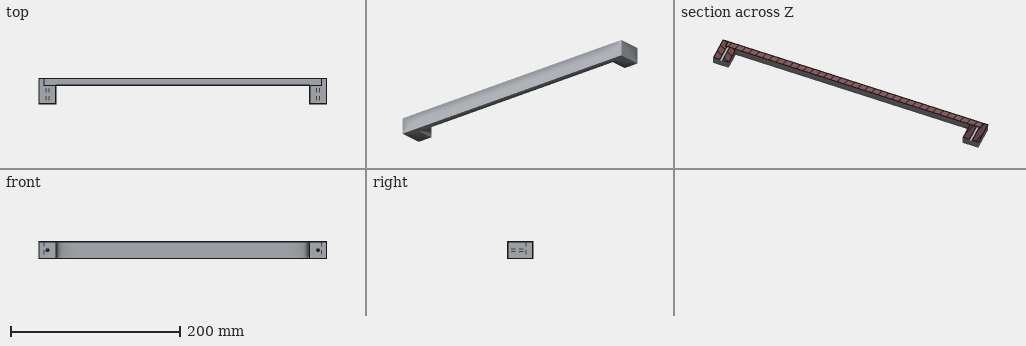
import cadquery as cq

length = 340.0
depth = 30.0
height = 20.0

foot_width = height
bar_thickness = 8.0
end_wall = 6.0
hole_diameter = 3.0

bar_length = length - 2 * end_wall
bar_front_y = depth / 2 - bar_thickness
foot_center_x = (length - foot_width) / 2


def make_bar():
    """Flat grip bar, flush with the rear and the top and bottom of the feet."""
    bar_center_y = bar_front_y + bar_thickness / 2
    return cq.Workplane("XY").box(bar_length, bar_thickness, height).translate((0, bar_center_y, 0))


def make_foot(side, bar):
    """Foot at one end (side is -1 or 1), with a bar recess and a screw hole."""
    block = cq.Workplane("XY").box(foot_width, depth, height).translate((side * foot_center_x, 0, 0))

    hole_depth = bar_front_y + depth / 2
    screw_hole = (
        cq.Workplane("XZ", origin=(side * foot_center_x, bar_front_y, 0))
        .circle(hole_diameter / 2)
        .extrude(hole_depth)
    )
    return block.cut(bar).cut(screw_hole)


bar = make_bar()
feet = [make_foot(side, bar) for side in (-1, 1)]

result = cq.Compound.makeCompound([bar.val(), *[foot.val().Solids()[0] for foot in feet]])